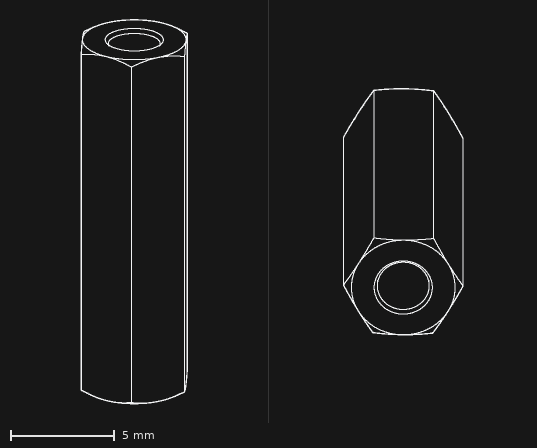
import cadquery as cq
import math

length = 18.0
across_flats = 5.0
across_corners = across_flats / math.cos(math.radians(30))

corner_chamfer_angle = 30.0
corner_chamfer_height = (across_corners - across_flats) / 2 * math.tan(math.radians(corner_chamfer_angle))

hole_diameter = 2.5
mouth_diameter = 2.8
hole_depth = 7.0
drill_point_angle = 118.0
countersink_angle = 75.0


def revolve_profile(points):
    """Turn a closed (radius, height) outline around the Z axis."""
    return cq.Workplane("XZ").polyline(points).close().revolve(360, (0, 0, 0), (0, 1, 0))


def chamfer_envelope():
    """Turned bar whose coned ends cut the hexagon corners."""
    face_radius = across_flats / 2
    corner_radius = across_corners / 2
    half = length / 2
    shoulder = half - corner_chamfer_height
    return revolve_profile([
        (0, -half),
        (face_radius, -half),
        (corner_radius, -shoulder),
        (corner_radius, shoulder),
        (face_radius, half),
        (0, half),
    ])


def top_hole():
    """Drilled hole opening on the upper end face."""
    hole_radius = hole_diameter / 2
    mouth_radius = mouth_diameter / 2
    top = length / 2
    countersink_depth = (mouth_radius - hole_radius) / math.tan(math.radians(countersink_angle / 2))
    point_height = hole_radius / math.tan(math.radians(drill_point_angle / 2))
    return revolve_profile([
        (0, top),
        (mouth_radius, top),
        (hole_radius, top - countersink_depth),
        (hole_radius, top - hole_depth),
        (0, top - hole_depth - point_height),
    ])


hexagon = cq.Workplane("XY").polygon(6, across_corners).extrude(length / 2, both=True)
body = hexagon.intersect(chamfer_envelope())

hole = top_hole()
result = body.cut(hole).cut(hole.mirror("XY"))